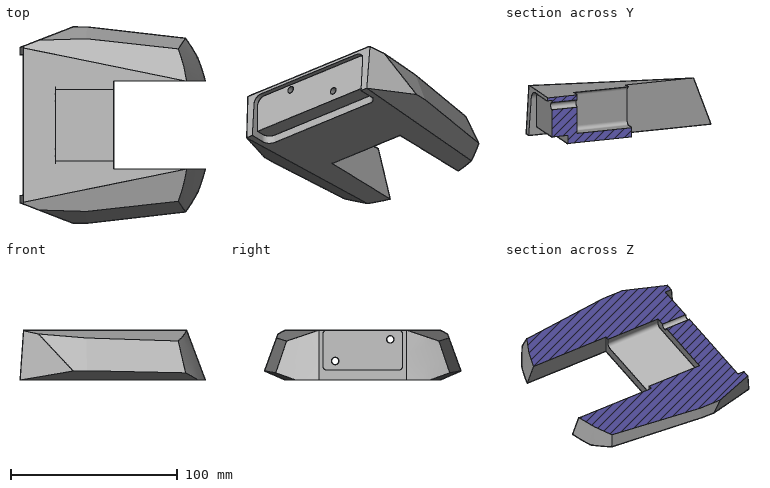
import cadquery as cq
import math

LENGTH = 111.3
WIDTH = 118.0
HEIGHT = 30.0
FRONT_LEAN = 4.0

DRAFT = 20.0
WIDEST_HEIGHT = 5.4
FRONT_HALF_WIDTH = 46.6
CORNER_ANGLE = 21.2
SIDE_BEND_X = 40.4
SIDE_ANGLE = 7.0
BASE_ANGLE = 3.4
ROOF_FRONT_HALF_WIDTH = 46.3
ROOF_LEAN = 70.0

SLOT_HALF_WIDTH = 26.3
SLOT_X = 56.3

TAIL_CENTER_X = 6.3
TAIL_BASE_RADIUS = math.hypot(LENGTH - TAIL_CENTER_X, SLOT_HALF_WIDTH)
TAIL_TOP_RADIUS = TAIL_BASE_RADIUS - HEIGHT * math.tan(math.radians(DRAFT))

CAVITY_X = 21.2
CAVITY_HALF_WIDTH = 24.0
CAVITY_RADIUS = 2.5
CAVITY_FLOOR = 6.0

RECESS_HALF_WIDTH = 42.1
RECESS_TOP = 27.9
RECESS_X = 5.0
RECESS_RADIUS = 5.3
UNDERCUT_HEIGHT = 5.1
UNDERCUT_X = 15.0

HOLE_DIAMETER = 4.2
HOLES = [(16.5, 24.4), (-16.5, 11.5)]

BIG = 4 * WIDTH


def block(x_range, y_range, z_range):
    """Axis-aligned box spanning the given ranges."""
    (x0, x1), (y0, y1), (z0, z1) = x_range, y_range, z_range
    box = cq.Workplane("XY").box(x1 - x0, y1 - y0, z1 - z0, centered=False)
    return box.translate((x0, y0, z0))


def outside_plane(point, plan_angle, lean):
    """Space outside a plane through point.

    plan_angle is the direction of its horizontal outward normal, and lean is
    how far the plane tips inward with height (negative tips outward).
    """
    plan, tip = math.radians(plan_angle), math.radians(lean)
    normal = (math.cos(plan) * math.cos(tip), math.sin(plan) * math.cos(tip), math.sin(tip))
    plane = cq.Plane(origin=point, normal=normal)
    return cq.Workplane(plane).rect(BIG, BIG).extrude(BIG)


def tail_cone():
    """Drafted cone that rounds the tail."""
    base_center = cq.Vector(TAIL_CENTER_X, 0, 0)
    cone = cq.Solid.makeCone(TAIL_BASE_RADIUS, TAIL_TOP_RADIUS, HEIGHT, pnt=base_center)
    return cq.Workplane(cone)


def faceted_body():
    """Solid outer shape before the openings are cut."""
    half_width = WIDTH / 2
    corner_x = (half_width - FRONT_HALF_WIDTH) / math.tan(math.radians(CORNER_ANGLE))
    base_half_width = FRONT_HALF_WIDTH - corner_x * math.tan(math.radians(BASE_ANGLE))
    overhang = (half_width - base_half_width) * math.cos(math.radians(BASE_ANGLE))
    base_lean = math.degrees(math.atan2(overhang, WIDEST_HEIGHT))
    roof_front_x = HEIGHT * math.tan(math.radians(FRONT_LEAN))
    roof_tail_x = TAIL_CENTER_X + math.sqrt(TAIL_TOP_RADIUS ** 2 - SLOT_HALF_WIDTH ** 2)
    roof_narrowing = ROOF_FRONT_HALF_WIDTH - SLOT_HALF_WIDTH
    roof_angle = math.degrees(math.atan2(roof_narrowing, roof_tail_x - roof_front_x))
    facets = [
        ((0, FRONT_HALF_WIDTH, 0), 90 + CORNER_ANGLE, 0),
        ((0, half_width, WIDEST_HEIGHT), 90, DRAFT),
        ((SIDE_BEND_X, half_width, WIDEST_HEIGHT), 90 - SIDE_ANGLE, DRAFT),
        ((0, FRONT_HALF_WIDTH, 0), 90 - BASE_ANGLE, -base_lean),
        ((roof_front_x, ROOF_FRONT_HALF_WIDTH, HEIGHT), 90 - roof_angle, ROOF_LEAN),
    ]
    body = block((0, LENGTH), (-WIDTH, WIDTH), (0, HEIGHT)).intersect(tail_cone())
    body = body.cut(outside_plane((0, 0, 0), 180, FRONT_LEAN))
    for (x, y, z), plan_angle, lean in facets:
        body = body.cut(outside_plane((x, y, z), plan_angle, lean))
        body = body.cut(outside_plane((x, -y, z), -plan_angle, lean))
    return body


def arm_slot():
    """Full-height slot that separates the two arms."""
    return block((SLOT_X, BIG), (-SLOT_HALF_WIDTH, SLOT_HALF_WIDTH), (-HEIGHT, 2 * HEIGHT))


def cavity():
    """Cavity with rounded long edges; its flat top opens through the roof."""
    width_range = (-CAVITY_HALF_WIDTH, CAVITY_HALF_WIDTH)
    box = block((CAVITY_X, SLOT_X), width_range, (CAVITY_FLOOR, HEIGHT))
    return box.edges("|X").fillet(CAVITY_RADIUS)


def front_recess():
    """Shallow recess in the front face with rounded upper corners."""
    width_range = (-RECESS_HALF_WIDTH, RECESS_HALF_WIDTH)
    recess = block((-RECESS_X, RECESS_X), width_range, (-HEIGHT, RECESS_TOP))
    return recess.edges("|X and >Z").fillet(RECESS_RADIUS)


def base_undercut():
    """Low step under the front wall with rounded inner corners."""
    width_range = (-RECESS_HALF_WIDTH, RECESS_HALF_WIDTH)
    undercut = block((-RECESS_X, UNDERCUT_X), width_range, (-HEIGHT, UNDERCUT_HEIGHT))
    return undercut.edges("|Z and >X").fillet(RECESS_RADIUS)


def wall_hole(y, z):
    """Hole along X from the front recess into the cavity."""
    hole_length = (CAVITY_X + SLOT_X) / 2
    return cq.Workplane("YZ").center(y, z).circle(HOLE_DIAMETER / 2).extrude(hole_length)


result = faceted_body().cut(arm_slot()).cut(cavity()).cut(front_recess()).cut(base_undercut())
for hole_y, hole_z in HOLES:
    result = result.cut(wall_hole(hole_y, hole_z))